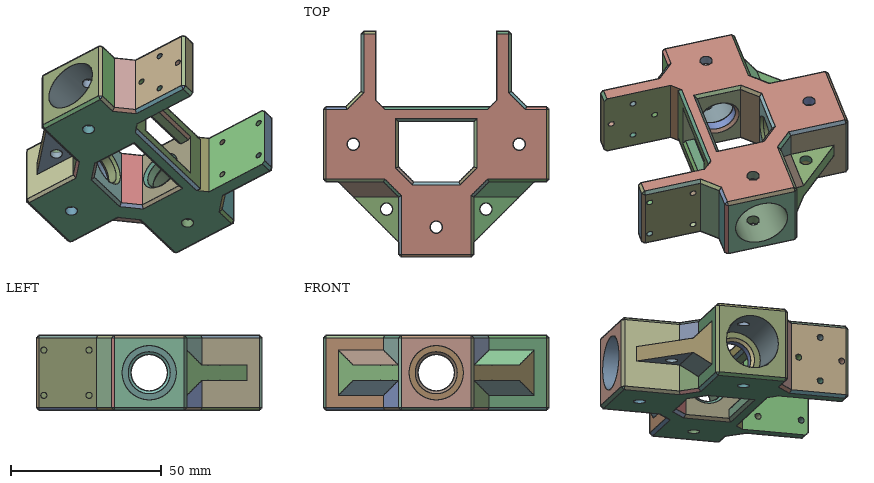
import cadquery as cq

span = 75.0
arm = span / 3
wall = arm / 5
edge_chamfer = 1.0

half_span = span / 2
half_arm = arm / 2
bar_front = arm
bar_back = 2 * arm
bar_axis = (bar_front + bar_back) / 2

plate_outside = arm
plate_inside = plate_outside - wall
inner_gusset = 2.0

pocket_back = bar_back - wall
window_height = 15.0

socket_diameter = 18.0
socket_depth = half_span - half_arm - wall
passage_diameter = 12.0
passage_chamfer = 1.0

pin_diameter = 4.0
pin_from_end = 10.0
web_hole_x = 16.5
web_hole_y = 16.0
screw_diameter = 2.0
screw_spacing = 15.0
screw_center_y = span - (wall + screw_spacing) / 2

web_reach = 4 * wall


def mirrored(right_half):
    """Close an outline from its right half, listed from front to back."""
    return right_half + [(-x, y) for x, y in reversed(right_half)]


def prism(points, height):
    """Extrude an XY outline evenly above and below Z = 0."""
    return cq.Workplane("XY").polyline(points).close().extrude(height / 2, both=True)


def make_block():
    """Outer silhouette with filled rear, chamfered on every convex edge."""
    outline = mirrored([
        (half_arm, 0),
        (half_arm, bar_front - wall),
        (half_arm + wall, bar_front),
        (half_span, bar_front),
        (half_span, bar_back),
        (plate_outside + wall, bar_back),
        (plate_outside, bar_back + wall),
        (plate_outside, span),
    ])
    block = prism(outline, arm)
    convex_corners = [
        (half_arm, 0),
        (half_span, bar_front),
        (half_span, bar_back),
        (plate_outside, span),
    ]
    edges = block.faces("|Z").edges()
    for x, y in mirrored(convex_corners):
        edges = edges.add(block.edges(cq.NearestToPointSelector((x, y, 0))))
    return edges.chamfer(edge_chamfer)


def cut_plate_gap(body):
    """Open the space between the plates and chamfer the bar's back edges there."""
    gap = prism(mirrored([
        (plate_inside - inner_gusset, bar_back),
        (plate_inside, bar_back + inner_gusset),
        (plate_inside, span + wall),
    ]), arm)
    body = body.cut(gap)
    for z in (half_arm, -half_arm):
        back_edge = cq.NearestToPointSelector((0, bar_back, z))
        body = body.edges(back_edge).chamfer(edge_chamfer)
    return body


def add_webs(body):
    """Triangular webs that flare at 45 degrees where they meet the bar."""
    web_area = prism(mirrored([
        (half_arm, bar_front - web_reach),
        (half_arm + web_reach, bar_front),
    ]), arm)
    half_web = wall / 2
    profile = (
        cq.Workplane("YZ")
        .polyline([
            (0, -half_web),
            (bar_front - wall, -half_web),
            (bar_front, -half_web - wall),
            (bar_front, half_web + wall),
            (bar_front - wall, half_web),
            (0, half_web),
        ])
        .close()
        .extrude(half_span, both=True)
    )
    return body.union(profile.intersect(web_area))


def cut_pocket(body):
    """Vertical pocket with two cut corners, chamfered at both mouths."""
    pocket = prism(mirrored([
        (half_arm - wall, bar_front),
        (half_arm, bar_front + wall),
        (half_arm, pocket_back),
    ]), arm)
    body = body.cut(pocket)
    margin = wall / 10
    mouth = cq.selectors.BoxSelector(
        (-half_arm - margin, bar_front - margin, -arm),
        (half_arm + margin, pocket_back + margin, arm),
    )
    return body.faces("|Z").edges(mouth).chamfer(edge_chamfer)


def cut_window(body):
    """Window behind the pocket; its sill and lintel are chamfered front and back."""
    inner = window_height / 2
    outer = inner + edge_chamfer
    upper_edge = [
        (pocket_back, outer),
        (pocket_back + edge_chamfer, inner),
        (bar_back - edge_chamfer, inner),
        (bar_back, outer),
    ]
    lower_edge = [(y, -z) for y, z in reversed(upper_edge)]
    window = cq.Workplane("YZ").polyline(upper_edge + lower_edge).close()
    return body.cut(window.extrude(half_arm, both=True))


def socket_cutter():
    """Stepped bore along +Y starting at Y = 0, coned at both passage ends."""
    pocket_face = socket_depth + wall
    socket_radius = socket_diameter / 2
    passage_radius = passage_diameter / 2
    mouth_radius = passage_radius + passage_chamfer
    return (
        cq.Workplane("XY")
        .polyline([
            (0, 0),
            (socket_radius, 0),
            (socket_radius, socket_depth),
            (mouth_radius, socket_depth),
            (passage_radius, socket_depth + passage_chamfer),
            (passage_radius, pocket_face - passage_chamfer),
            (mouth_radius, pocket_face),
            (0, pocket_face),
        ])
        .close()
        .revolve(360, (0, 0, 0), (0, 1, 0))
    )


def cut_sockets(body):
    front = socket_cutter()
    body = body.cut(front)
    for side, turn in ((-1, -90), (1, 90)):
        cutter = front.rotate((0, 0, 0), (0, 0, 1), turn)
        body = body.cut(cutter.translate((side * half_span, bar_axis, 0)))
    return body


def drill_pins(body):
    """Vertical holes through the three arms and the two webs."""
    centers = [
        (0, pin_from_end),
        (half_span - pin_from_end, bar_axis),
        (pin_from_end - half_span, bar_axis),
        (web_hole_x, web_hole_y),
        (-web_hole_x, web_hole_y),
    ]
    pins = cq.Workplane("XY").pushPoints(centers).circle(pin_diameter / 2)
    return body.cut(pins.extrude(arm, both=True))


def drill_plate(body, side, centers):
    """Cross holes through one plate; centers are offsets in Y and Z."""
    screws = (
        cq.Workplane("YZ", origin=(side * plate_inside, screw_center_y, 0))
        .pushPoints(centers)
        .circle(screw_diameter / 2)
        .extrude(side * wall)
    )
    return body.cut(screws)


half_pitch = screw_spacing / 2
square_pattern = [(y, z) for y in (-half_pitch, half_pitch) for z in (-half_pitch, half_pitch)]
diamond_pattern = [(half_pitch, 0), (0, half_pitch), (-half_pitch, 0), (0, -half_pitch)]

result = make_block()
result = cut_plate_gap(result)
result = cut_pocket(result)
result = add_webs(result)
result = cut_window(result)
result = cut_sockets(result)
result = drill_pins(result)
result = drill_plate(result, -1, square_pattern)
result = drill_plate(result, 1, diamond_pattern)